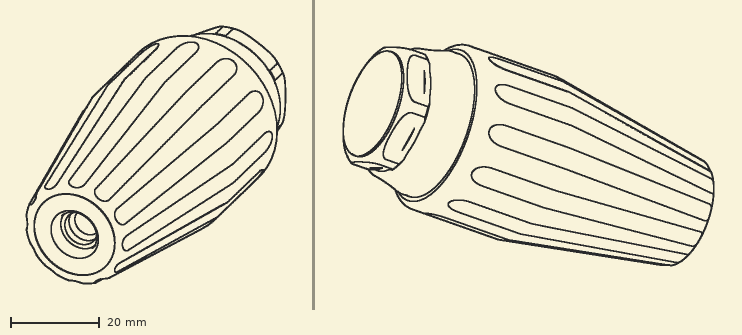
import cadquery as cq
import math

length = 83.5

sleeve_radius = 39.0 / 2
nose_corner_radius = 12.4
taper_end = 42.7
sleeve_end = 67.05
nose_fillet = 1.8
sleeve_rim_radius = 17.95
sleeve_bevel_radius = 18.9
sleeve_bevel_depth = 0.5
sleeve_round_depth = 1.6
sleeve_round_radius = 1.3

collar_radius = 34.0 / 2
collar_cylinder_end = 69.05
collar_end = 76.7
collar_end_radius = 15.2
collar_flare_radius = 40.1
collar_fillet = 0.5

hex_across_flats = 27.05
hex_corner_radius = 14.95
hex_end = 83.0
hex_round = 2.3
hex_chamfer = 0.5
spigot_radius = 13.9
spigot_height = 1.5
disc_radius = 24.8 / 2

flute_count = 12
flute_radius = 8.0 / 2
flute_floor = 18.5
flute_nose_floor = 11.8
flute_end = 59.0
flute_runout_radius = 9.2
flute_overrun = 6.7

recess_radius = 20.0 / 2
recess_depth = 0.2
bore_radius = 10.0 / 2
bore_mouth_radius = 13.4 / 2
bore_depth = 3.5
inner_bore_radius = 8.0 / 2
inner_bore_depth = 5.7
seat_radius = 3.2
seat_depth = 7.0
floor_radius = 1.75


def turned(profile):
    """Turn a closed (radius, Y) profile about the Y axis."""
    return profile.close().revolve(360, (0, 0, 0), (0, 1, 0))


def disc(radius, start, end):
    return cq.Workplane("XZ", origin=(0, start, 0)).circle(radius).extrude(start - end)


def sleeve():
    body = turned(
        cq.Workplane("XY")
        .lineTo(nose_corner_radius, 0)
        .lineTo(sleeve_radius, taper_end)
        .lineTo(sleeve_radius, sleeve_end - sleeve_round_depth)
        .radiusArc((sleeve_bevel_radius, sleeve_end - sleeve_bevel_depth), -sleeve_round_radius)
        .lineTo(sleeve_rim_radius, sleeve_end)
        .lineTo(0, sleeve_end)
    )
    return body.faces("<Y").edges().fillet(nose_fillet)


def flute_cutters():
    """Cutters for the flute on the +Z side: tapered run, straight run and curved run-out."""
    axis_offset = flute_floor + flute_radius
    rise = flute_floor - flute_nose_floor
    slope = math.atan2(rise, taper_end)
    taper_dir = cq.Vector(0, math.cos(slope), math.sin(slope))
    taper_normal = cq.Vector(0, -math.sin(slope), math.cos(slope))
    taper_knee = cq.Vector(0, taper_end, flute_floor) + taper_normal * flute_radius
    taper_length = math.hypot(rise, taper_end) + flute_overrun
    tapered = cq.Solid.makeCylinder(
        flute_radius,
        taper_length + flute_overrun,
        taper_knee - taper_dir * taper_length,
        taper_dir,
    )
    straight_start = taper_end - flute_overrun
    straight = cq.Solid.makeCylinder(
        flute_radius,
        flute_end - straight_start,
        cq.Vector(0, straight_start, axis_offset),
        cq.Vector(0, 1, 0),
    )
    runout = cq.Solid.makeTorus(
        flute_runout_radius - flute_radius,
        flute_radius,
        cq.Vector(0, flute_end, flute_floor + flute_runout_radius),
        cq.Vector(1, 0, 0),
    )
    return [tapered, straight, runout]


def cut_flutes(body):
    cutters = flute_cutters()
    for index in range(flute_count):
        angle = 360 / flute_count * index
        for cutter in cutters:
            body = body.cut(cq.Workplane(cutter).rotate((0, 0, 0), (0, 1, 0), angle))
    return body


def collar():
    body = turned(
        cq.Workplane("XY")
        .moveTo(0, taper_end)
        .lineTo(collar_radius, taper_end)
        .lineTo(collar_radius, collar_cylinder_end)
        .radiusArc((collar_end_radius, collar_end), collar_flare_radius)
        .lineTo(0, collar_end)
    )
    return body.faces(">Y").edges().fillet(collar_fillet)


def hexagon():
    """Hexagon with corners on the Z axis, trimmed to a rounded turned blank."""
    across_corners = hex_across_flats / math.cos(math.radians(30))
    prism = (
        cq.Workplane("XZ", origin=(0, collar_end, 0))
        .transformed(rotate=(0, 0, 90))
        .polygon(6, across_corners)
        .extrude(collar_end - hex_end)
    )
    blank = disc(hex_corner_radius, collar_end, hex_end)
    blank = blank.faces(">Y").edges().fillet(hex_round).faces("<Y").edges().chamfer(hex_chamfer)
    spigot = disc(spigot_radius, collar_end, collar_end + spigot_height)
    end_disc = disc(disc_radius, hex_end, length)
    return prism.intersect(blank).union(spigot).union(end_disc)


def bore():
    """Stepped blind bore with a rounded mouth, a tapered seat and a dished floor."""
    mouth_round = bore_mouth_radius - bore_radius
    dish_round = seat_radius - floor_radius
    return turned(
        cq.Workplane("XY")
        .lineTo(bore_mouth_radius, 0)
        .radiusArc((bore_radius, mouth_round), mouth_round)
        .lineTo(bore_radius, bore_depth)
        .lineTo(inner_bore_radius, bore_depth)
        .lineTo(inner_bore_radius, inner_bore_depth)
        .lineTo(seat_radius, seat_depth)
        .radiusArc((floor_radius, seat_depth + dish_round), -dish_round)
        .lineTo(0, seat_depth + dish_round)
    )


result = cut_flutes(sleeve()).union(collar()).union(hexagon())
result = result.cut(disc(recess_radius, 0, recess_depth)).cut(bore())